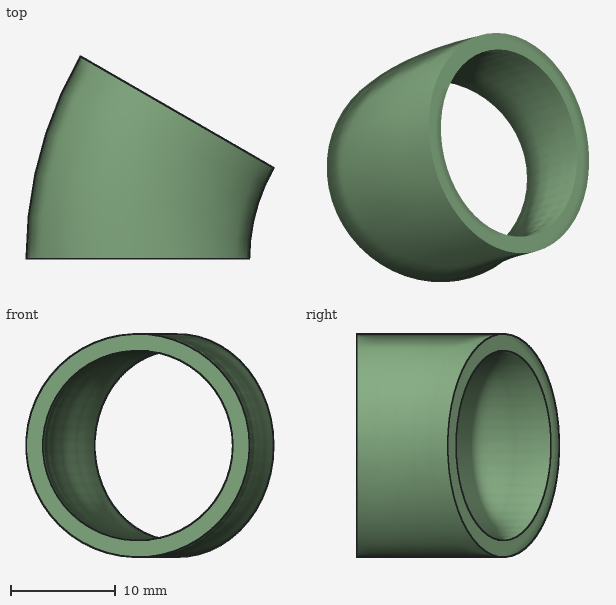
import cadquery as cq

outer_diameter = 21.3
wall_thickness = 1.6
bend_radius = 28.0
bend_angle = 30.0

outer_radius = outer_diameter / 2
inner_radius = outer_radius - wall_thickness


def make_elbow():
    """Revolve the ring section from the Y = 0 face about a vertical axis on the +X side."""
    ring = cq.Workplane("XZ").circle(outer_radius).circle(inner_radius)
    axis_start = (bend_radius, 0, 0)
    axis_end = (bend_radius, -1, 0)
    return ring.revolve(bend_angle, axis_start, axis_end)


result = make_elbow()